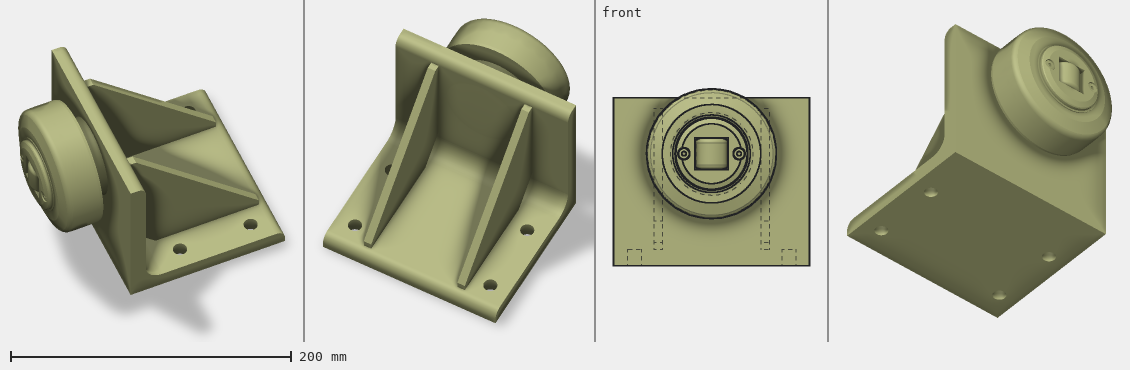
import cadquery as cq

width = 140.0
leg = 120.0
thickness = 12.0
inner_radius = 13.0
toe_radius = 6.9
hole_diameter = 10
hole_half_spacing = 55.0
hole_rows = (45.0, 100.0)

rib_thickness = 6.0
rib_offset = 38.0
rib_reach = 112.4
rib_end_height = 5
rib_corner_cut = 20.2

wheel_height = 80.0
wheel_radius = 46.4
wheel_shoulder_radius = 46.2
wheel_back_chamfer = 0.5
neck_radius = 59.0 / 2
wheel_back = 10.5
tread_start = 12.6
tread_end = 33.5
nose_start = 37.6
nose_radius = 43.7
wheel_front = 40.7
wheel_face_radius = 35.1

dome_radius = 28.5
dome_height = 0.7

seal_radius = 55.3 / 2
seal_front = 41.3
cap_radius = 52 / 2
cap_side_end = 43.7
cap_rim = 44.4
cap_rim_radius = 25.4
cap_front = 45.9
cap_face_radius = 21.3

window_width = 24.0
window_height = 22.8
window_depth = 13.5
roller_radius = 11.8
roller_length = 21.8
roller_rounding = 2.94
roller_front = 48.0
screw_offset = 19.7
screw_hole_diameter = 8.5
screw_head_diameter = 7.7
screw_hole_depth = 2.5
screw_head_height = 1.7
socket_diameter = 3.2
socket_depth = 0.8


def make_bracket():
    """L-shaped profile with rounded toes and mounting holes in the foot."""
    profile = (
        cq.Workplane("YZ")
        .polyline([(0, 0), (leg, 0), (leg, thickness), (thickness, thickness), (thickness, leg), (0, leg)])
        .close()
        .extrude(width / 2, both=True)
    )
    profile = profile.edges(cq.selectors.NearestToPointSelector((0, thickness, thickness))).fillet(inner_radius)
    for toe in ((0, leg, thickness), (0, thickness, leg)):
        profile = profile.edges(cq.selectors.NearestToPointSelector(toe)).fillet(toe_radius)
    hole_centers = [(side * hole_half_spacing, y) for side in (-1, 1) for y in hole_rows]
    holes = cq.Workplane("XY").pushPoints(hole_centers).circle(hole_diameter / 2).extrude(thickness)
    return profile.cut(holes)


def make_rib(center_x):
    """Triangular gusset with blunt ends and a cut corner clearing the inner fillet."""
    end = thickness + rib_end_height
    corner = thickness + rib_corner_cut
    outline = [
        (corner, thickness),
        (rib_reach, thickness),
        (rib_reach, end),
        (end, rib_reach),
        (thickness, rib_reach),
        (thickness, corner),
    ]
    rib = cq.Workplane("YZ").polyline(outline).close().extrude(rib_thickness / 2, both=True)
    return rib.translate((center_x, 0, 0))


def forward_cylinder(x, start, end, diameter):
    """Cylinder along -Y at wheel height, between two distances from the mounting face."""
    plane = cq.Workplane("XZ", origin=(x, -start, wheel_height))
    return plane.circle(diameter / 2).extrude(end - start)


def make_wheel():
    """Neck, crowned wheel, seal ring and bearing cap as one turned body (radius, distance forward)."""
    tread_middle = (tread_start + tread_end) / 2
    section = (
        cq.Workplane("XY")
        .moveTo(0, 0)
        .lineTo(neck_radius, 0)
        .lineTo(neck_radius, wheel_back)
        .lineTo(wheel_shoulder_radius - wheel_back_chamfer, wheel_back)
        .lineTo(wheel_shoulder_radius, tread_start)
        .threePointArc((wheel_radius, tread_middle), (wheel_shoulder_radius, tread_end))
        .tangentArcPoint((nose_radius, nose_start), relative=False)
        .lineTo(wheel_face_radius, wheel_front)
        .lineTo(seal_radius, wheel_front)
        .lineTo(seal_radius, seal_front)
        .lineTo(cap_radius, seal_front)
        .lineTo(cap_radius, cap_side_end)
        .lineTo(cap_rim_radius, cap_rim)
        .lineTo(cap_face_radius, cap_front)
        .lineTo(0, cap_front)
        .close()
    )
    turned = section.revolve(360, (0, 0, 0), (0, 1, 0))
    return turned.rotate((0, 0, 0), (0, 0, 1), 180).translate((0, 0, wheel_height))


def make_dome():
    """Spherical cap on the inner face of the upright leg, centred on the wheel axis."""
    sphere_radius = (dome_radius**2 + dome_height**2) / (2 * dome_height)
    center_y = thickness + dome_height - sphere_radius
    base = forward_cylinder(0, -thickness - dome_height, 0, 2 * dome_radius)
    sphere = cq.Workplane("XY").sphere(sphere_radius).translate((0, center_y, wheel_height))
    return base.intersect(sphere)


def make_window():
    """Rectangular pocket in the cap face for the side roller."""
    plane = cq.Workplane("XZ", origin=(0, window_depth - cap_front, wheel_height))
    return plane.rect(window_width, window_height).extrude(window_depth)


def make_roller():
    """Upright roller with rounded ends, seated in the floor of the window."""
    roller = cq.Workplane("XY").circle(roller_radius).extrude(roller_length / 2, both=True)
    roller = roller.edges().fillet(roller_rounding)
    return roller.translate((0, roller_radius - roller_front, wheel_height))


def add_screw(body, x):
    """Recessed screw head with a round socket."""
    floor = cap_front - screw_hole_depth
    head_top = floor + screw_head_height
    body = body.cut(forward_cylinder(x, floor, cap_front, screw_hole_diameter))
    body = body.union(forward_cylinder(x, floor, head_top, screw_head_diameter))
    return body.cut(forward_cylinder(x, head_top - socket_depth, head_top, socket_diameter))


wheel = make_wheel().cut(make_window()).union(make_roller())
for side in (-1, 1):
    wheel = add_screw(wheel, side * screw_offset)

result = make_bracket().union(wheel).union(make_dome())
for side in (-1, 1):
    result = result.union(make_rib(side * rib_offset))